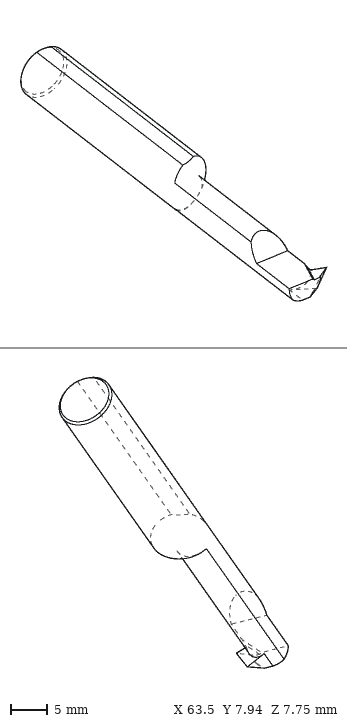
import cadquery as cq
import math

length = 63.5
shank_radius = 3.97
shank_flat_height = 3.78
end_chamfer = 0.3

neck_radius = 2.85
neck_center_y = -1.45
shoulder_x = 35.6
shoulder_fillet = 0.5
cone_rise = 7.6

face_start_x = 55.8

tip_x = 62.3
tip_y = 3.35
tooth_angle = 60.0
tooth_root_y = 0.0
relief_angle = 30.0

groove_start = (59.7, 1.4)
groove_angle = -19.0
groove_wall = 0.25
groove_depth = 0.25
groove_length = 7.6


def make_shank():
    return cq.Workplane("YZ").circle(shank_radius).extrude(length).faces("<X").chamfer(end_chamfer)


def cut_neck(body):
    """Turn the neck by removing everything outside its filleted cone and cylinder."""
    half_turn = math.radians(45 / 2)
    setback = shoulder_fillet * math.tan(half_turn)
    diagonal = setback * math.sin(math.radians(45))
    outer_radius = neck_radius + cone_rise
    fillet_start = (shoulder_x - diagonal, neck_radius + diagonal)
    fillet_middle = (
        shoulder_x + setback - shoulder_fillet * math.sin(half_turn),
        neck_radius + shoulder_fillet * (1 - math.cos(half_turn)),
    )
    waste = (
        cq.Workplane("XY")
        .moveTo(shoulder_x - cone_rise, outer_radius)
        .lineTo(*fillet_start)
        .threePointArc(fillet_middle, (shoulder_x + setback, neck_radius))
        .lineTo(length, neck_radius)
        .lineTo(length, outer_radius)
        .close()
        .revolve(360, (0, 0, 0), (1, 0, 0))
        .translate((0, neck_center_y, 0))
    )
    return body.cut(waste)


def cut_shank_flat(body):
    width = 2 * shank_radius
    waste = cq.Workplane("XY", origin=(length / 2, 0, shank_flat_height))
    return body.cut(waste.rect(length, width).extrude(shank_radius))


def cut_cutting_face(body):
    waste = (
        cq.Workplane("XZ")
        .polyline([
            (face_start_x, 0),
            (length, 0),
            (length, shank_radius),
            (face_start_x - shank_radius, shank_radius),
        ])
        .close()
        .extrude(shank_radius, both=True)
    )
    return body.cut(waste)


def tooth_section(plane):
    """Triangular tooth outline, with its right corner cut off by the end of the bar."""
    slope = math.tan(math.radians(tooth_angle / 2))
    root_x = tip_x - (tip_y - tooth_root_y) * slope
    end_y = tip_y - (length - tip_x) / slope
    return plane.polyline([
        (root_x, tooth_root_y),
        (length, tooth_root_y),
        (length, end_y),
        (tip_x, tip_y),
    ]).close()


def make_tooth():
    """Sweep the outline down to the neck bottom, leaning back for clearance."""
    lean = neck_radius * math.tan(math.radians(relief_angle))
    top = tooth_section(cq.Workplane("XY"))
    return tooth_section(
        top.workplane(offset=-neck_radius, origin=(0, -lean, 0))
    ).loft(ruled=True)


def cut_chip_groove(body):
    """Shallow V groove whose long side rises to the tooth tip."""
    angle = math.radians(groove_angle)
    tip_offset = (
        (tip_y - groove_start[1]) * math.cos(angle) - (tip_x - groove_start[0]) * math.sin(angle)
    )
    start_x = groove_start[0] - groove_length / 4 * math.cos(angle)
    start_y = groove_start[1] - groove_length / 4 * math.sin(angle)
    plane = cq.Plane(
        origin=(start_x, start_y, 0),
        xDir=(-math.sin(angle), math.cos(angle), 0),
        normal=(math.cos(angle), math.sin(angle), 0),
    )
    waste = (
        cq.Workplane(plane)
        .polyline([(0, 0), (groove_wall, -groove_depth), (tip_offset, 0)])
        .close()
        .extrude(groove_length)
    )
    return body.cut(waste)


bar = cut_cutting_face(cut_shank_flat(cut_neck(make_shank())))
result = cut_chip_groove(bar.union(make_tooth()))